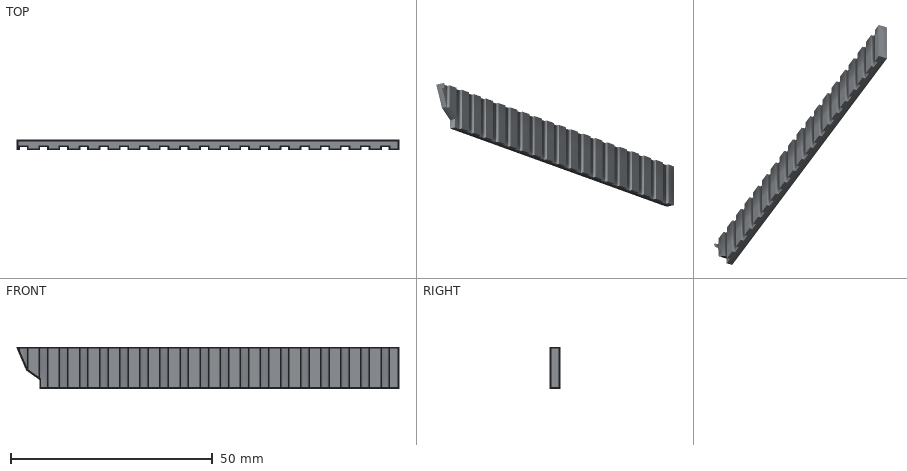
import cadquery as cq

length = 94.6
thickness = 2.3
height = 10.0

knee_inset = 2.4
knee_height = 4.5
step_inset = 5.7
step_height = 2.2

groove_count = 19
groove_width = 2.1
groove_depth = 0.8
first_land = 0.5
last_land = 2.3
groove_pitch = (length - first_land - last_land - groove_width) / (groove_count - 1)

left = -length / 2
right = length / 2
front = -thickness / 2
bottom = -height / 2
top = height / 2


def make_bar():
    """Extrude the side outline, including the undercut nose, through the thickness."""
    outline = [
        (left, top),
        (left + knee_inset, bottom + knee_height),
        (left + step_inset, bottom + step_height),
        (left + step_inset, bottom),
        (right, bottom),
        (right, top),
    ]
    return cq.Workplane("XZ").polyline(outline).close().extrude(thickness / 2, both=True)


def make_groove(start_x):
    """Full-height groove cutter whose left wall is at start_x."""
    groove = cq.Workplane("XY").box(groove_width, groove_depth, height, centered=(False, False, True))
    return groove.translate((start_x, front, 0))


result = make_bar()
for index in range(groove_count):
    result = result.cut(make_groove(left + first_land + index * groove_pitch))